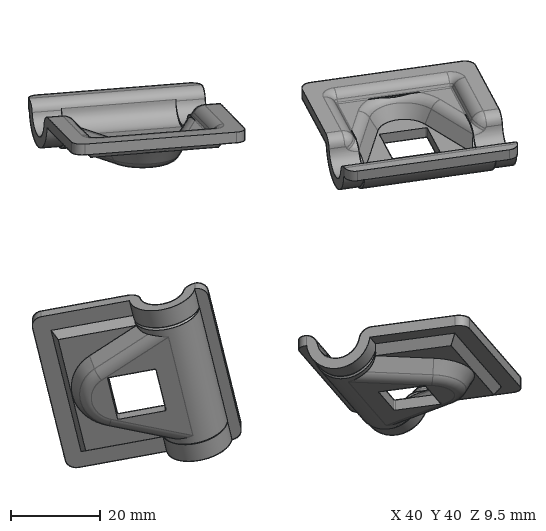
import cadquery as cq
import math

plate_size = 40.0
sheet = 2.5
corner_radius = 2.5
half_plate = plate_size / 2
overlap = 1.0

draft = 30.0
rim_radius = 3.0
draft_run = math.tan(math.radians(draft))
wall_offset = sheet / math.cos(math.radians(draft))

channel_x = -10.0
channel_radius = 5.0
channel_depth = 6.5
channel_z = channel_radius - channel_depth
trough_depth = 7.0
trough_z = channel_radius - trough_depth
trough_half_length = 13.2
trough_outer_half_length = 15.5
trough_end_chamfer = 0.4

pocket_depth = 2.3
pocket_half = 13.3
pocket_corner_radius = 0.3
pocket_floor_radius = 0.4

nose_x = 4.5
nose_radius = 6.0
wedge_angle = math.radians(25.0)

hole_size = 11.0
hole_corner_radius = 0.3


def box(x_min, x_max, half_y, z_min, z_max):
    """Block centred on Y = 0."""
    size = (x_max - x_min, 2 * half_y, z_max - z_min)
    return cq.Workplane("XY").box(*size, centered=(False, True, False)).translate((x_min, 0, z_min))


def cylinder(radius, z, half_length):
    """Cylinder along Y on the channel's centre plane."""
    start = cq.Workplane("XZ", origin=(channel_x, half_length, z))
    return start.circle(radius).extrude(2 * half_length)


def wedge(radius, back_x, z, height):
    """Wedge that widens upward from z, with the given nose radius and flat back at its foot."""
    tangent_x = nose_x + radius * math.sin(wedge_angle)
    tangent_y = radius * math.cos(wedge_angle)
    back_y = tangent_y + (tangent_x - back_x) * math.tan(wedge_angle)
    return (
        cq.Workplane("XY", origin=(0, 0, z))
        .moveTo(back_x, -back_y)
        .lineTo(tangent_x, -tangent_y)
        .threePointArc((nose_x + radius, 0), (tangent_x, tangent_y))
        .lineTo(back_x, back_y)
        .close()
        .extrude(height, taper=-draft)
    )


def pocket(half, z, height):
    """Rectangle from the channel's centre plane to +X that widens upward from z."""
    length = half - channel_x
    floor = cq.Sketch().rect(length, 2 * half).vertices().fillet(pocket_corner_radius)
    start = cq.Workplane("XY", origin=(channel_x + length / 2, 0, z))
    return start.placeSketch(floor).extrude(height, taper=-draft)


def rim_edges(block):
    """Edges of the hollows opening in a block's top face, without the block's own outer edges."""
    low_corner = (-half_plate, -half_plate, -plate_size)
    high_corner = (half_plate, half_plate, plate_size)
    inside = cq.selectors.BoxSelector(low_corner, high_corner)
    return block.faces(">Z").edges(inside)


def make_plate():
    return box(-half_plate, half_plate, half_plate, -sheet, 0).edges("|Z").fillet(corner_radius)


def make_channel_wall():
    outer = cylinder(channel_radius + sheet, channel_z, half_plate)
    return outer.intersect(box(-half_plate, half_plate, half_plate, -plate_size, channel_z))


def make_trough_wall():
    outer = cylinder(channel_radius + sheet, trough_z, trough_outer_half_length)
    outer = outer.faces("|Y").edges().chamfer(trough_end_chamfer)
    return outer.intersect(box(-half_plate, half_plate, half_plate, -plate_size, trough_z))


def make_wedge_wall():
    """Underside of the deep wedge, one sheet thickness outside its hollow."""
    foot_radius = nose_radius + wall_offset - sheet * draft_run
    outer = wedge(foot_radius, channel_x - rim_radius, -trough_depth - sheet, trough_depth)
    outer = outer.intersect(box(channel_x, half_plate, trough_outer_half_length, -plate_size, 0))
    return outer.faces("<Z").edges("not <X").fillet(rim_radius)


def make_pocket_wall():
    """Sharp-cornered underside of the shallow pocket, one sheet thickness outside its hollow."""
    foot_half = pocket_half + wall_offset - sheet * draft_run
    top_half = foot_half + pocket_depth * draft_run
    foot_x = (channel_x + foot_half) / 2
    top_x = (channel_x + top_half) / 2
    return (
        cq.Workplane("XY", origin=(foot_x, 0, -pocket_depth - sheet))
        .rect(foot_half - channel_x, 2 * foot_half)
        .workplane(offset=pocket_depth)
        .center(top_x - foot_x, 0)
        .rect(top_half - channel_x, 2 * top_half)
        .loft(ruled=True)
    )


def make_upper_void():
    """Channel and shallow pocket together, with one rounding along their shared rim."""
    length = half_plate + overlap
    channel = cylinder(channel_radius, channel_z, length)
    hollow = pocket(pocket_half, -pocket_depth, pocket_depth)
    hollow = hollow.faces("<Z").edges("not <X").fillet(pocket_floor_radius)
    block = box(-length, length, length, -plate_size, 0)
    raw = block.cut(channel).cut(hollow)
    creases = raw.edges("%ELLIPSE")
    rounded = rim_edges(raw).add(creases).fillet(rim_radius)
    return block.cut(rounded)


def make_trough_void():
    bore = cylinder(channel_radius, trough_z, trough_half_length)
    return bore.intersect(box(-half_plate, half_plate, half_plate, -plate_size, trough_z))


def make_wedge_void():
    """Deep wedge, flared at the pocket floor and kept inside the pocket's walls."""
    length = half_plate + overlap
    block = box(-length, length, length, -trough_depth, -pocket_depth)
    hollow = wedge(nose_radius, channel_x, -trough_depth, trough_depth - pocket_depth)
    rounded = rim_edges(block.cut(hollow)).fillet(rim_radius)
    reach = box(-half_plate, pocket_half, trough_half_length, -trough_depth, -pocket_depth)
    return block.cut(rounded).intersect(reach)


def make_hole():
    hole = box(-hole_size / 2, hole_size / 2, hole_size / 2, -plate_size, 0)
    return hole.edges("|Z").fillet(hole_corner_radius)


body = make_plate()
for wall in (make_channel_wall(), make_trough_wall(), make_wedge_wall(), make_pocket_wall()):
    body = body.union(wall)

voids = (
    make_upper_void(),
    make_trough_void(),
    make_wedge_void(),
    make_hole(),
)
for void in voids:
    body = body.cut(void)

result = body